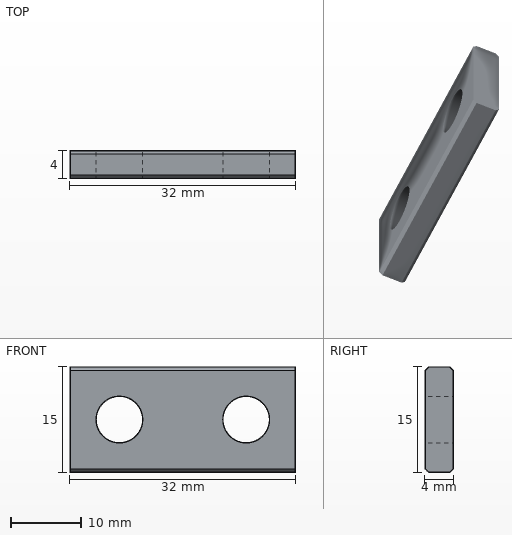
import cadquery as cq

length = 32.0
thickness = 4.0
height = 15.0

edge_chamfer = 0.5

hole_diameter = 6.6
hole_spacing = 18.0

plate = cq.Workplane("XY").box(length, thickness, height)
plate = plate.edges("|X").chamfer(edge_chamfer)

hole_centres = [(-hole_spacing / 2, 0), (hole_spacing / 2, 0)]
front_face = plate.faces("<Y").workplane(centerOption="CenterOfBoundBox")
result = front_face.pushPoints(hole_centres).hole(hole_diameter)